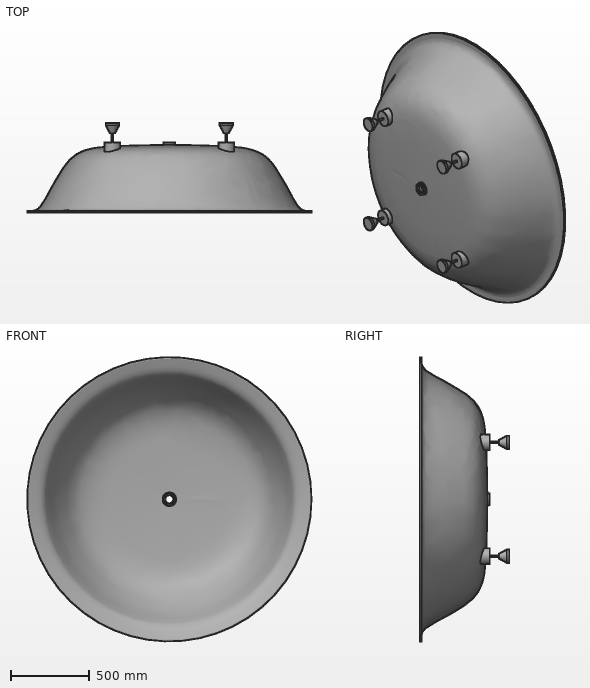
import cadquery as cq


rim_radius = 910.0
rim_thickness = 13.6
rim_land = 11.0

crown_depth = 435.0
floor_thickness = 15.0
outer_wall = [(273, 430.0), (437, 420.0), (537.0, 400), (619, 357.0), (710, 238.0), (775.0, 124.0), (819, 47.0)]
outer_wall_end = (874.0, rim_thickness)
inner_wall = [(273, 415.0), (437, 405.0), (530.0, 388.0), (608.0, 345.0), (697.0, 231.0), (763.0, 116.0), (810.0, 36.0)]
inner_wall_end = (rim_radius - rim_land, 0)

drain_mouth_radius = 44.0
drain_body_radius = 38.0
drain_bore_radius = 25.0
drain_back = 450.0
drain_flange_back = crown_depth - floor_thickness / 2
drain_cone_depth = 13.0
drain_floor = crown_depth - floor_thickness

foot_offset = 364.0
pad_radius = 51.0
pad_root = 345.0
pad_back = drain_back
stem_radius = 6.4
cone_small_radius = 16.0
cone_large_radius = 44.0
cone_start = 508.0
foot_disc_thickness = 16.0
foot_back = 575.0


def revolve_about_y(profile):
    """Turn a closed XY profile fully around the Y axis."""
    return profile.close().revolve(360, (0, 0, 0), (0, 1, 0))


def bowl_envelope():
    """Outer shape of the bowl and its rim, still filled in."""
    profile = (
        cq.Workplane("XY")
        .moveTo(0, 0)
        .lineTo(0, crown_depth)
        .spline([*outer_wall, outer_wall_end], tangents=[(1, 0), (1, 0)], includeCurrent=True)
        .lineTo(rim_radius, rim_thickness)
        .lineTo(rim_radius, 0)
    )
    return revolve_about_y(profile)


def bowl_cavity():
    """Hollow inside the bowl, open at the rim face."""
    profile = (
        cq.Workplane("XY")
        .moveTo(0, 0)
        .lineTo(0, drain_floor)
        .spline([*inner_wall, inner_wall_end], tangents=[(1, 0), (3, -1)], includeCurrent=True)
    )
    return revolve_about_y(profile)


def foot(x, z):
    """Pad, stem and flared foot, turned about an axis parallel to Y."""
    profile = (
        cq.Workplane("XY")
        .moveTo(0, pad_root)
        .lineTo(pad_radius, pad_root)
        .lineTo(pad_radius, pad_back)
        .lineTo(stem_radius, pad_back)
        .lineTo(stem_radius, cone_start)
        .lineTo(cone_small_radius, cone_start)
        .lineTo(cone_large_radius, foot_back - foot_disc_thickness)
        .lineTo(cone_large_radius, foot_back)
        .lineTo(0, foot_back)
    )
    return revolve_about_y(profile).translate((x, 0, z))


def drain_plug():
    """Stepped outside of the drain fitting; it is also the hole through the bowl."""
    profile = (
        cq.Workplane("XY")
        .lineTo(drain_mouth_radius, 0)
        .lineTo(drain_mouth_radius, drain_flange_back)
        .lineTo(drain_body_radius, drain_flange_back)
        .lineTo(drain_body_radius, drain_back)
        .lineTo(0, drain_back)
    )
    return revolve_about_y(profile)


def make_bowl():
    """Bowl with its four feet, hollowed and pierced for the drain."""
    body = bowl_envelope()
    for x in (-foot_offset, foot_offset):
        for z in (-foot_offset, foot_offset):
            body = body.union(foot(x, z))
    return body.cut(bowl_cavity()).cut(drain_plug()).solids()


def make_drain():
    """Drain ring: a conical mouth level with the bowl floor, then a straight bore."""
    cone_end = drain_floor + drain_cone_depth
    profile = (
        cq.Workplane("XY")
        .moveTo(drain_mouth_radius, drain_floor)
        .lineTo(drain_mouth_radius, drain_flange_back)
        .lineTo(drain_body_radius, drain_flange_back)
        .lineTo(drain_body_radius, drain_back)
        .lineTo(drain_bore_radius, drain_back)
        .lineTo(drain_bore_radius, cone_end)
    )
    return revolve_about_y(profile)


bowl = make_bowl()
drain = make_drain()

result = cq.Compound.makeCompound([bowl.val(), drain.val()])